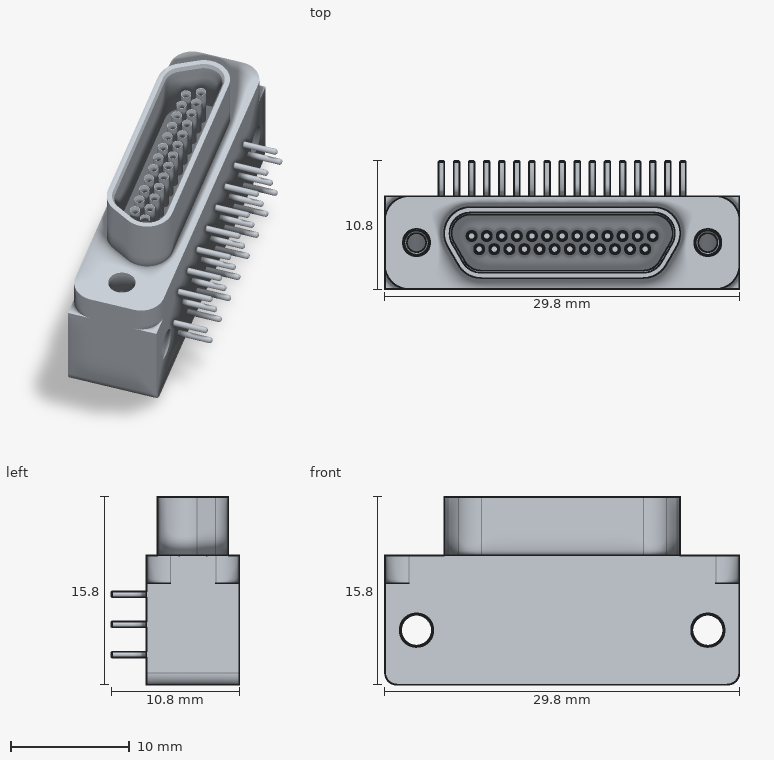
import cadquery as cq


BODY_LENGTH = 29.8
BODY_DEPTH = 7.8
BODY_HEIGHT = 10.88
BOTTOM_ROUND = 1.0
CORNER_RADIUS = 2.0
CORNER_LEDGE_DROP = 2.32

SHELL_HEIGHT = 4.92
SHELL_RADIUS = 2.2
SHELL_WALL = 0.63
SHELL_HALF_DEPTH = 2.98
LONG_SIDE_CENTER = 7.72
SHORT_SIDE_CENTER = 6.82
RIM_BEVEL_WIDTH = 0.18
RIM_BEVEL_DEPTH = 0.33

CONTACT_ROW_SPAN = 15.23
CONTACT_COUNTS = (13, 12)
PITCH = CONTACT_ROW_SPAN / (CONTACT_COUNTS[0] - 1)
ROW_SPACING = 1.1
CONTACT_DIAMETER = 0.85
CONTACT_BORE = 0.6
CONTACT_BORE_DEPTH = 0.9
CONTACT_FUNNEL_DIAMETER = 0.8
CONTACT_FUNNEL_DEPTH = 0.3
CONTACT_HEIGHT = 3.4
PIN_DIAMETER = 0.5
PIN_LENGTH = 2.98
PIN_TIP_CHAMFER = 0.12
PIN_ROW_COUNTS = (8, 9, 8)
PIN_ROW_SPACING = 2 * PITCH
LOWEST_PIN_ROW = 2.53

HOLE_OFFSET = 12.25
CROSS_HOLE_DIAMETER = 2.6
CROSS_HOLE_HEIGHT = 4.6
CROSS_HOLE_CHAMFER = 0.12
JACK_BORE = 2.3
JACK_BORE_DEPTH = 2.35
JACK_CONE_TOP = 2.03
JACK_DRILL = 1.6
JACK_CONE_DEPTH = 0.2

HOLE_CENTERS = (-HOLE_OFFSET, HOLE_OFFSET)
SHELL_TOP = BODY_HEIGHT + SHELL_HEIGHT


def row_positions(count, spacing):
    """Evenly spaced positions centred on zero."""
    return [(i - (count - 1) / 2) * spacing for i in range(count)]


def turned(plane, profile):
    """Solid of revolution: (radius, distance along axis) points turned about the plane's local Y."""
    return plane.polyline(profile).close().revolve(360, (0, 0, 0), (0, 1, 0))


def make_body():
    block = (
        cq.Workplane("XY")
        .box(BODY_LENGTH, BODY_DEPTH, BODY_HEIGHT, centered=(True, True, False))
        .edges("|Y and <Z")
        .fillet(BOTTOM_ROUND)
    )
    ledge_band = (
        cq.Workplane("XY", origin=(0, 0, BODY_HEIGHT - CORNER_LEDGE_DROP))
        .rect(BODY_LENGTH, BODY_DEPTH)
        .extrude(CORNER_LEDGE_DROP)
    )
    rounded_band = ledge_band.edges("|Z").fillet(CORNER_RADIUS)
    return block.cut(ledge_band.cut(rounded_band))


def d_outline(radius, height):
    """D outline at a height: arcs of one radius around four fixed corner centres."""
    center_y = SHELL_HALF_DEPTH - SHELL_RADIUS
    corner_centers = [
        (-LONG_SIDE_CENTER, center_y),
        (LONG_SIDE_CENTER, center_y),
        (SHORT_SIDE_CENTER, -center_y),
        (-SHORT_SIDE_CENTER, -center_y),
    ]
    plane = cq.Workplane("XY", origin=(0, 0, height))
    return plane.polyline(corner_centers).close().offset2D(radius)


def make_shell():
    inner_radius = SHELL_RADIUS - SHELL_WALL
    outside = d_outline(SHELL_RADIUS, BODY_HEIGHT).extrude(SHELL_HEIGHT)
    cavity = d_outline(inner_radius, BODY_HEIGHT).extrude(SHELL_HEIGHT)
    bevel_start = d_outline(inner_radius, SHELL_TOP - RIM_BEVEL_DEPTH).wires().val()
    bevel_end = d_outline(inner_radius + RIM_BEVEL_WIDTH, SHELL_TOP).wires().val()
    bevel = cq.Solid.makeLoft([bevel_start, bevel_end], True)
    return outside.cut(cavity).cut(cq.Workplane(bevel))


def contact_tube():
    """One contact standing on the origin, with a funnel leading into its blind bore."""
    outer_radius = CONTACT_DIAMETER / 2
    bore_radius = CONTACT_BORE / 2
    bore_floor = CONTACT_HEIGHT - CONTACT_BORE_DEPTH
    profile = [
        (0, 0),
        (outer_radius, 0),
        (outer_radius, CONTACT_HEIGHT),
        (CONTACT_FUNNEL_DIAMETER / 2, CONTACT_HEIGHT),
        (bore_radius, CONTACT_HEIGHT - CONTACT_FUNNEL_DEPTH),
        (bore_radius, bore_floor),
        (0, bore_floor),
    ]
    return turned(cq.Workplane("XZ"), profile)


def make_contacts():
    row_offsets = (ROW_SPACING / 2, -ROW_SPACING / 2)
    tube = contact_tube().val()
    centers = []
    for count, y in zip(CONTACT_COUNTS, row_offsets):
        centers += [(x, y) for x in row_positions(count, PITCH)]
    return (
        cq.Workplane("XY", origin=(0, 0, BODY_HEIGHT))
        .pushPoints(centers)
        .eachpoint(lambda place: tube.moved(place))
    )


def make_pins():
    centers = []
    for row, count in enumerate(PIN_ROW_COUNTS):
        z = LOWEST_PIN_ROW + row * PIN_ROW_SPACING
        centers += [(x, z) for x in row_positions(count, 2 * PITCH)]
    return (
        cq.Workplane("XZ", origin=(0, BODY_DEPTH / 2, 0))
        .pushPoints(centers)
        .circle(PIN_DIAMETER / 2)
        .extrude(-PIN_LENGTH)
        .faces(">Y")
        .edges()
        .chamfer(PIN_TIP_CHAMFER)
    )


def cross_hole(x):
    """Mounting hole running through the body along Y, bevelled at the front."""
    radius = CROSS_HOLE_DIAMETER / 2
    mouth_radius = radius + CROSS_HOLE_CHAMFER
    profile = [
        (0, 0),
        (mouth_radius, 0),
        (radius, CROSS_HOLE_CHAMFER),
        (radius, BODY_DEPTH),
        (0, BODY_DEPTH),
    ]
    front_face = cq.Workplane("XY", origin=(x, -BODY_DEPTH / 2, CROSS_HOLE_HEIGHT))
    return turned(front_face, profile)


def jack_hole(x):
    """Stepped jackscrew hole from the top face down into the cross hole."""
    step = BODY_HEIGHT - JACK_BORE_DEPTH
    profile = [
        (0, CROSS_HOLE_HEIGHT),
        (JACK_DRILL / 2, CROSS_HOLE_HEIGHT),
        (JACK_DRILL / 2, step - JACK_CONE_DEPTH),
        (JACK_CONE_TOP / 2, step),
        (JACK_BORE / 2, step),
        (JACK_BORE / 2, BODY_HEIGHT),
        (0, BODY_HEIGHT),
    ]
    return turned(cq.Workplane("XZ", origin=(x, 0, 0)), profile)


result = make_body().union(make_shell()).union(make_contacts()).union(make_pins())
for hole_x in HOLE_CENTERS:
    result = result.cut(cross_hole(hole_x)).cut(jack_hole(hole_x))